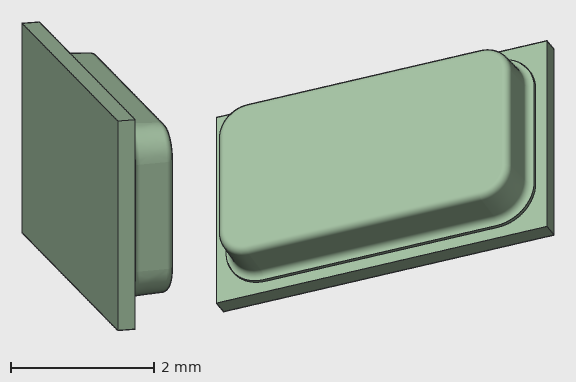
import cadquery as cq

board_length = 5.05
board_height = 3.05
board_thickness = 0.25

pad_width = 0.5
pad_length = 0.9
pad_pitch = 1.245
pads_per_row = 4

overall_depth = 0.9
lid_depth = overall_depth - board_thickness
flange_inset = 0.17
flange_thickness = 0.05
flange_corner_radius = 0.575
flange_width = 0.1
wall_draft = 3.0
edge_radius = 0.1

board_front = -overall_depth / 2
board_back = board_front + board_thickness


def plane_facing_back(y):
    """Workplane at the given Y, with its normal along +Y."""
    return cq.Workplane(cq.Plane(origin=(0, y, 0), xDir=(1, 0, 0), normal=(0, 1, 0)))


def rounded_rectangle(inset):
    """Lid outline, shrunk by the inset from the flange edge with concentric corners."""
    total_inset = flange_inset + inset
    return cq.Sketch().rect(
        board_length - 2 * total_inset,
        board_height - 2 * total_inset,
    ).vertices().fillet(flange_corner_radius - inset)


def make_pad_footprints():
    """Blocks that touch the pad face from outside, one over each pad."""
    row_offset = board_height - pad_length
    return (
        plane_facing_back(board_front)
        .rarray(pad_pitch, row_offset, pads_per_row, 2)
        .rect(pad_width, pad_length)
        .extrude(-board_thickness)
    )


def make_board():
    plate = plane_facing_back(board_front).rect(board_length, board_height).extrude(board_thickness)
    return plate.cut(make_pad_footprints(), clean=False).solids()


def make_lid():
    flange = plane_facing_back(board_back).placeSketch(rounded_rectangle(0)).extrude(flange_thickness)
    can = (
        plane_facing_back(board_back + flange_thickness)
        .placeSketch(rounded_rectangle(flange_width))
        .extrude(lid_depth - flange_thickness, taper=wall_draft)
        .faces(">Y")
        .edges()
        .fillet(edge_radius)
    )
    lid = flange.union(can)

    flange_top = lid.faces("|Y").faces("<Y[1]").val()
    wall_foot = flange_top.innerWires()[0]
    return lid.newObject(wall_foot.Edges()).fillet(edge_radius).solids()


board = make_board()
lid = make_lid()

result = cq.Compound.makeCompound([board.val(), lid.val()])